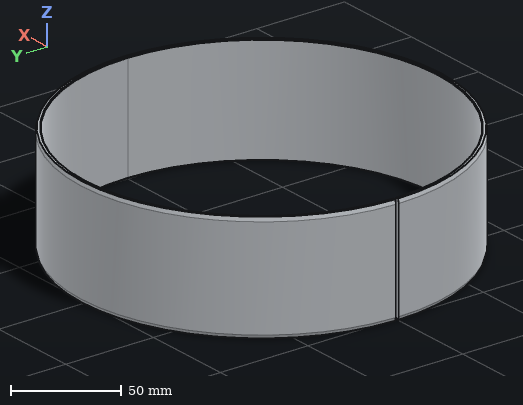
import cadquery as cq

outer_diameter = 205.0
height = 60.0
wall = 2.5
outer_bevel_height = 2.0
outer_bevel_depth = 0.6
inner_bevel = 0.5
slit_width = 1.6

outer_radius = outer_diameter / 2
inner_radius = outer_radius - wall
half_height = height / 2


def ring_body():
    """Revolve the wall section, bevelled inside and outside at both rims."""
    outer_shoulder = half_height - outer_bevel_height
    inner_shoulder = half_height - inner_bevel
    outer_rim = outer_radius - outer_bevel_depth
    inner_rim = inner_radius + inner_bevel
    section = [
        (inner_radius, -inner_shoulder),
        (inner_rim, -half_height),
        (outer_rim, -half_height),
        (outer_radius, -outer_shoulder),
        (outer_radius, outer_shoulder),
        (outer_rim, half_height),
        (inner_rim, half_height),
        (inner_radius, inner_shoulder),
    ]
    return cq.Workplane("XZ").polyline(section).close().revolve(360, (0, 0), (0, 1))


def slit_cutter():
    """Cut through the wall on the -X side, from the XZ plane towards +Y."""
    cutter_length = 4 * wall
    cutter = cq.Workplane("XY").box(cutter_length, slit_width, height)
    return cutter.translate((-outer_radius, slit_width / 2, 0))


result = ring_body().cut(slit_cutter())